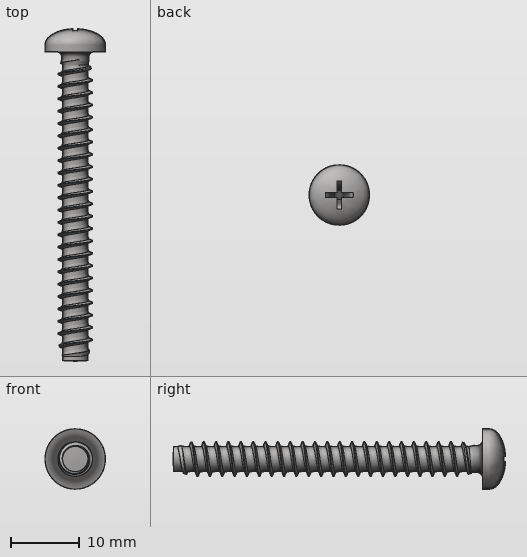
import cadquery as cq
import math


length = 48.45
head_radius = 4.4
head_height = 3.4
head_rim_height = 1.0

core_radius = 1.85
neck_radius = 2.0
neck_fillet = 0.75
neck_end = 4.75
neck_taper = 0.6
tip_cone_height = 0.1

crest_radius = 2.5
thread_start = 3.92
thread_length = 44.1
thread_turns = 24.5
pitch = thread_length / thread_turns
thread_crest_width = 0.1
tip_flank_width = 0.3
head_flank_width = 0.25
foot_height = 0.1
foot_width = 0.45
root_overlap = 0.1
end_inset = 0.05
lead_in_start = 4.35
lead_in_radius = neck_radius - end_inset
lead_in_end = 7.2
run_out_start = 45.05
run_out_end = 47.85
run_out_radius = core_radius - end_inset
envelope_clearance = 0.2
envelope_radius = crest_radius + envelope_clearance

recess_rim_radius = 2.25
recess_tip_radius = 0.7
recess_depth = 2.2
wing_width = 0.7


def make_body():
    """Head, neck and core as one revolved profile."""
    shoulder_depth = head_height - head_rim_height
    fillet_center = (neck_radius + neck_fillet, head_height + neck_fillet)
    fillet_offset = neck_fillet * math.sqrt(0.5)
    fillet_mid = (fillet_center[0] - fillet_offset, fillet_center[1] - fillet_offset)

    return (
        cq.Workplane("XZ")
        .moveTo(head_radius, shoulder_depth)
        .lineTo(head_radius, head_height)
        .lineTo(fillet_center[0], head_height)
        .threePointArc(fillet_mid, (neck_radius, fillet_center[1]))
        .lineTo(neck_radius, neck_end)
        .lineTo(core_radius, neck_end + neck_taper)
        .lineTo(core_radius, length - tip_cone_height)
        .lineTo(0, length)
        .lineTo(0, 0)
        .ellipseArc(head_radius, shoulder_depth, 270, 360, startAtCurrent=True)
        .close()
        .revolve(360, (0, 0), (0, 1))
    )


def make_thread():
    """Right-hand thread with a sloping foot on its head side, faded at both ends by a conical envelope."""
    root_radius = core_radius - root_overlap
    half_crest = thread_crest_width / 2
    foot_top = thread_start - half_crest - head_flank_width
    foot_end = foot_top - foot_width * (foot_height + root_overlap) / foot_height

    helix = cq.Wire.makeHelix(pitch, thread_length, root_radius, cq.Vector(0, 0, thread_start))
    ridge = (
        cq.Workplane("XZ")
        .polyline(
            [
                (root_radius, foot_end),
                (core_radius + foot_height, foot_top),
                (crest_radius, thread_start - half_crest),
                (crest_radius, thread_start + half_crest),
                (root_radius, thread_start + half_crest + tip_flank_width),
            ]
        )
        .close()
        .sweep(cq.Workplane(helix), isFrenet=True)
    )
    envelope = (
        cq.Workplane("XZ")
        .polyline(
            [
                (0, lead_in_start),
                (lead_in_radius, lead_in_start),
                (envelope_radius, lead_in_end),
                (envelope_radius, run_out_start),
                (run_out_radius, run_out_end),
                (0, run_out_end),
            ]
        )
        .close()
        .revolve(360, (0, 0), (0, 1))
    )
    return ridge.intersect(envelope)


def make_recess():
    """Two crossed slots limited to a cone, so that the wings narrow with depth."""
    cone = cq.Workplane(cq.Solid.makeCone(recess_rim_radius, recess_tip_radius, recess_depth))
    span = 2 * recess_rim_radius
    wing = cq.Workplane("XY").rect(span, wing_width).extrude(recess_depth)
    cross = wing.union(wing.rotate((0, 0, 0), (0, 0, 1), 90))
    return cone.intersect(cross)


screw = make_body().union(make_thread()).cut(make_recess())

result = screw.rotate((0, 0, 0), (1, 0, 0), 90).translate((0, length / 2, 0))